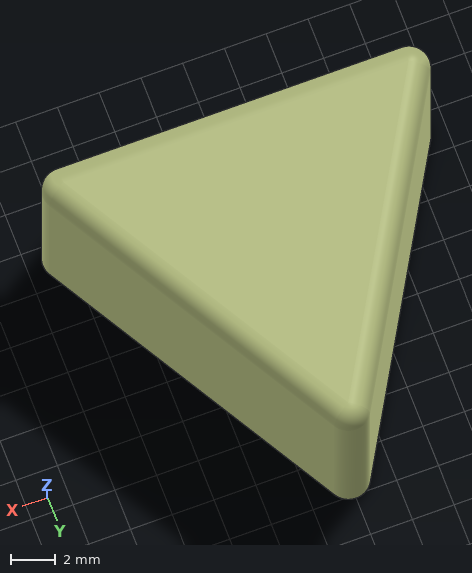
import cadquery as cq
import math

width = 18.54
height = 10.0
edge_radius = 1.0

centre_side = width - 2 * edge_radius
sharp_side = centre_side + 2 * math.sqrt(3) * edge_radius
sharp_depth = sharp_side * math.sqrt(3) / 2

base_y = -sharp_depth / 3
apex_y = base_y + sharp_depth
prism = (
    cq.Workplane("XY")
    .moveTo(-sharp_side / 2, base_y)
    .lineTo(sharp_side / 2, base_y)
    .lineTo(0, apex_y)
    .close()
    .extrude(height)
)

result = prism.edges("|Z or >Z").fillet(edge_radius)